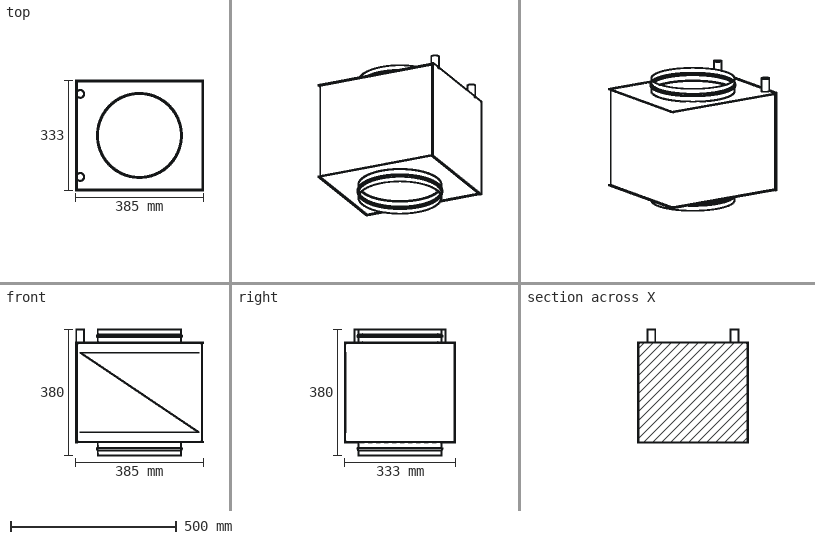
import cadquery as cq
import math

LENGTH = 385.0
WIDTH = 333.0
HEIGHT = 380.0

COVER_THICKNESS = 5.0
COVER_HEIGHT = 303.8
COVER_RIM = 1.0

PLATE_THICKNESS = 2.5
SIDE_OVERHANG = 4.0
FRONT_OVERHANG = 2.5
CORE_EDGE_RADIUS = 2.5

SPIGOT_X = 192.5
SPIGOT_RADIUS = 126.0
SPIGOT_WALL = 1.0
BEAD_HEIGHT = 2.7
BEAD_START = 15.0
BEAD_SLOPE = 4.5
BEAD_LAND = 2.5
BEAD_RETURN = 1.5

PIPE_RADIUS = 12.5
PIPE_WALL = 1.0
PIPE_X = 14.0
PIPE_SPACING = 250.2

STRIP_WIDTH = 1.0
STRIP_DEPTH = 1.0
STRIP_LEFT = 14.2
STRIP_RIGHT = 371.0
STRIP_HEIGHT = 240.5

RIM_Z = HEIGHT / 2
COVER_TOP = COVER_HEIGHT / 2
PLATE_TOP = COVER_TOP - COVER_RIM
CORE_TOP = PLATE_TOP - PLATE_THICKNESS
CORE_WIDTH = WIDTH - 2 * FRONT_OVERHANG
PIPE_POSITIONS = (-PIPE_SPACING / 2, PIPE_SPACING / 2)
ENDS = (1, -1)


def box_between(x_min, x_max, width, z_min, z_max):
    """Box centred on Y = 0 between the given X and Z limits."""
    return (
        cq.Workplane("XY", origin=(x_min, 0, z_min))
        .box(x_max - x_min, width, z_max - z_min, centered=(False, True, False))
    )


def disc(x, y, radius, z_min, z_max):
    return cq.Workplane("XY", origin=(x, y, z_min)).circle(radius).extrude(z_max - z_min)


def make_strip():
    """Two level bars joined by a diagonal of the same width, as one closed outline."""
    half_x = (STRIP_RIGHT - STRIP_LEFT) / 2
    half_z = STRIP_HEIGHT / 2
    inner_z = half_z - STRIP_WIDTH
    slope = math.atan2(STRIP_HEIGHT - STRIP_WIDTH, 2 * half_x)
    inner_x = half_x - STRIP_WIDTH / math.sin(slope)
    upper_half = [
        (-half_x, inner_z),
        (-half_x, half_z),
        (half_x, half_z),
        (half_x, inner_z),
        (-inner_x, inner_z),
    ]
    lower_half = [(-x, -z) for x, z in upper_half]
    back_of_strip = -CORE_WIDTH / 2 + STRIP_DEPTH
    return (
        cq.Workplane("XZ", origin=(STRIP_LEFT + half_x, back_of_strip, 0))
        .polyline(upper_half + lower_half).close()
        .extrude(STRIP_DEPTH)
    )


def make_housing(strip):
    housing = box_between(COVER_THICKNESS, LENGTH - SIDE_OVERHANG, CORE_WIDTH, -CORE_TOP, CORE_TOP)
    housing = housing.faces("<Y or >Y").edges().fillet(CORE_EDGE_RADIUS)
    for end in ENDS:
        z_min, z_max = sorted((end * CORE_TOP, end * PLATE_TOP))
        plate = box_between(COVER_THICKNESS, LENGTH, WIDTH, z_min, z_max)
        spigot_hole = disc(SPIGOT_X, 0, SPIGOT_RADIUS, z_min, z_max)
        housing = housing.union(plate.cut(spigot_hole))
    return housing.cut(strip)


def make_cover():
    """Panel whose raised top edge is notched where the pipes stand."""
    cover = box_between(0, COVER_THICKNESS, WIDTH, -COVER_TOP, COVER_TOP)
    for y in PIPE_POSITIONS:
        cover = cover.cut(disc(PIPE_X, y, PIPE_RADIUS, PLATE_TOP, COVER_TOP))
    return cover


def make_spigot(end):
    """Thin ring from the open rim down to the core, with a hollow bead rolled into its wall."""
    bead_radius = SPIGOT_RADIUS + BEAD_HEIGHT
    slope_end = BEAD_START + BEAD_SLOPE
    land_end = slope_end + BEAD_LAND
    outer_wall = [
        (SPIGOT_RADIUS, 0),
        (SPIGOT_RADIUS, BEAD_START),
        (bead_radius, slope_end),
        (bead_radius, land_end),
        (SPIGOT_RADIUS, land_end + BEAD_RETURN),
        (SPIGOT_RADIUS, RIM_Z - CORE_TOP),
    ]
    inner_wall = [(radius - SPIGOT_WALL, distance) for radius, distance in reversed(outer_wall)]
    profile = [(-radius, end * (RIM_Z - distance)) for radius, distance in outer_wall + inner_wall]
    return (
        cq.Workplane("XZ", origin=(SPIGOT_X, 0, 0))
        .polyline(profile).close()
        .revolve(360, (0, 0, 0), (0, 1, 0))
    )


def make_pipe(y):
    outside = disc(PIPE_X, y, PIPE_RADIUS, PLATE_TOP, RIM_Z)
    bore = disc(PIPE_X, y, PIPE_RADIUS - PIPE_WALL, PLATE_TOP, RIM_Z)
    return outside.cut(bore)


strip = make_strip()
housing = make_housing(strip)
cover = make_cover()
spigots = [make_spigot(end).val() for end in ENDS]
pipes = [make_pipe(y).val() for y in PIPE_POSITIONS]

result = cq.Compound.makeCompound([housing.val(), cover.val(), strip.val(), *spigots, *pipes])